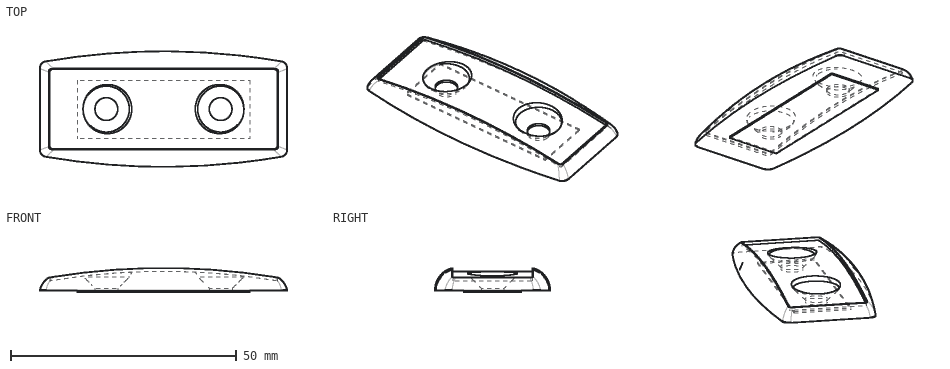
import cadquery as cq
import math

length = 54.95
width = 25.7
height = 5.4

pad_length = 38.35
pad_width = 12.85
pad_thickness = 0.35

skirt_height = 0.15
end_width = 20.8
crown_drop = 2.15
flank_radius = 5.4
end_radius = 4.65
corner_radius = 1.65

rim_length = 51.0
rim_width = 18.0
rim_end_thickness = 0.3
rim_side_thickness = 0.2
pocket_depth = 0.7
pocket_corner_radius = 0.45

hole_spacing = 25.4
bore_radius = 2.55
bore_depth = 0.55
sink_radius = 5.1
mouth_flare = 0.5

base_z = pad_thickness
foot_z = base_z + skirt_height
half_length = length / 2
half_rim_length = rim_length / 2
half_rim_width = rim_width / 2
pocket_length = rim_length - 2 * rim_end_thickness
pocket_width = rim_width - 2 * rim_side_thickness


def circle_radius(half_chord, rise):
    """Radius of the circle whose arc rises by `rise` over the chord."""
    return (half_chord ** 2 + rise ** 2) / (2 * rise)


def arc_drop(radius, offset):
    """How far an arc has fallen at `offset` from its highest point."""
    return radius - math.sqrt(radius ** 2 - offset ** 2)


crown_radius = circle_radius(half_rim_length, crown_drop)
plan_radius = circle_radius(half_length, (width - end_width) / 2)


def bulge_point(start, end, radius):
    """Middle of the arc from start to end, bulging to the left of that direction."""
    run = end[0] - start[0]
    rise = end[1] - start[1]
    chord = math.hypot(run, rise)
    sagitta = arc_drop(radius, chord / 2)
    middle_x = (start[0] + end[0]) / 2 - rise / chord * sagitta
    middle_z = (start[1] + end[1]) / 2 + run / chord * sagitta
    return (middle_x, middle_z)


def rim_z(x):
    """Height of the crowned rim at x."""
    return height - arc_drop(crown_radius, x)


def flank_section(x):
    """Cross-section of the cover at x: flat base, rounded flanks, flat top."""
    half_base = width / 2 - arc_drop(plan_radius, x)
    top = (half_rim_width, rim_z(x))
    foot = (half_base, foot_z)
    bulge = bulge_point(top, foot, flank_radius)
    return (
        cq.Workplane("YZ", origin=(x, 0, 0))
        .moveTo(-foot[0], foot[1])
        .threePointArc((-bulge[0], bulge[1]), (-top[0], top[1]))
        .lineTo(*top)
        .threePointArc(bulge, foot)
        .close()
        .wires()
        .val()
    )


def crowned_profile():
    """Side outline of the cover, from end to end, extruded across its width."""
    top = (half_rim_length, rim_z(half_rim_length))
    foot = (half_length, foot_z)
    bulge = bulge_point(top, foot, end_radius)
    return (
        cq.Workplane("XZ")
        .moveTo(-foot[0], foot[1])
        .threePointArc((-bulge[0], bulge[1]), (-top[0], top[1]))
        .threePointArc((0, height), top)
        .threePointArc(bulge, foot)
        .close()
        .extrude(width, both=True)
    )


def cover_blank():
    """Solid cover: lofted flanks trimmed by the crowned side outline, on an upright skirt."""
    stations = [-half_length, 0, half_length]
    flanks = cq.Workplane(cq.Solid.makeLoft([flank_section(x) for x in stations]))
    blank = flanks.intersect(crowned_profile())
    corner_start = pocket_length / 2
    corners = [
        edge for edge in blank.edges().vals()
        if abs(edge.Center().x) > corner_start
        and edge.BoundingBox().zlen > skirt_height
    ]
    rounded = blank.newObject(corners).fillet(corner_radius)
    skirt = rounded.faces("<Z").wires().toPending().workplane().extrude(skirt_height, combine=False)
    return rounded.union(skirt)


def pocket():
    """Rounded rectangular recess with a floor parallel to the crowned rim."""
    floor_crown_z = height - pocket_depth
    floor_end_z = floor_crown_z - arc_drop(crown_radius, half_length)
    above_floor = (
        cq.Workplane("XZ")
        .moveTo(-half_length, floor_end_z)
        .threePointArc((0, floor_crown_z), (half_length, floor_end_z))
        .lineTo(half_length, height)
        .lineTo(-half_length, height)
        .close()
        .extrude(width, both=True)
    )
    opening = (
        cq.Workplane("XY")
        .rect(pocket_length, pocket_width)
        .extrude(height)
        .edges("|Z")
        .fillet(pocket_corner_radius)
    )
    return opening.intersect(above_floor)


def screw_hole(x):
    """Bore, 45 degree countersink and flared mouth, turned about the hole axis."""
    sink_z = base_z + bore_depth
    mouth_z = sink_z + sink_radius - bore_radius
    mouth_radius = sink_radius + mouth_flare * (height - mouth_z)
    return (
        cq.Workplane("XZ")
        .moveTo(0, base_z)
        .lineTo(bore_radius, base_z)
        .lineTo(bore_radius, sink_z)
        .lineTo(sink_radius, mouth_z)
        .lineTo(mouth_radius, height)
        .lineTo(0, height)
        .close()
        .revolve(360, (0, 0, 0), (0, 1, 0))
        .translate((x, 0, 0))
    )


def make_cover():
    """Cover with its pocket and two screw holes."""
    body = cover_blank().cut(pocket())
    for x in (-hole_spacing / 2, hole_spacing / 2):
        body = body.cut(screw_hole(x))
    return body


def make_pad():
    """Flat pad that closes the screw holes from below."""
    return cq.Workplane("XY").rect(pad_length, pad_width).extrude(pad_thickness)


cover = make_cover()
pad = make_pad()

result = cq.Compound.makeCompound([cover.val(), pad.val()])